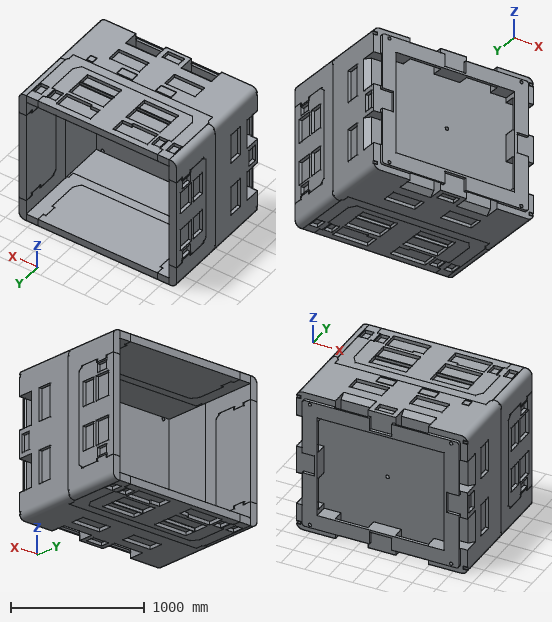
import cadquery as cq


LENGTH_X = 1435.0
HEIGHT_Y = 1084.0
WIDTH_Z = 1220.0
HALF_X = LENGTH_X / 2
HALF_Z = WIDTH_Z / 2
TOP_Y = HEIGHT_Y / 2
BOTTOM_Y = -TOP_Y
CORNER_RADIUS = 55.0
END_THICKNESS = 67.0
SIDE_THICKNESS = 65.0
INNER_X = HALF_X - END_THICKNESS
INNER_Z = HALF_Z - SIDE_THICKNESS
POCKET_DEPTH = 29.0

RUNNER_THICKNESS = 25.0
FOOT_Y = BOTTOM_Y + RUNNER_THICKNESS
RUNNER_HALF_X = 657.0
RUNNER_HALF_Z = 557.0
RUNNER_CORNER_RADIUS = 22.0
WINDOW_HALF_X = 532.0
WINDOW_HALF_Z = 432.0
NOTCH_END_X = 555.0
NOTCH_END_Z = 450.0
NOTCH_HALF_ON_X = 88.0
NOTCH_HALF_ON_Z = 93.0
CORNER_HOLE_X = 593.0
CORNER_HOLE_Z = 532.0
CORNER_HOLE_DIAMETER = 26.0
CENTRE_HOLE_DIAMETER = 29.0

SEAM_Y = 33.0
FLOOR_TOP_Y = -373.0
TUNNEL_TOP_Y = -426.0
TUNNEL_NEAR = 116.0
TUNNEL_FAR = 390.0
MOUTH_TOP_Y = -382.0
MOUTH_DEPTH = 40.0
LIP_BEVEL = 11.0
BASE_POCKET_TOP_Y = -170.0
BASE_POCKET_BOTTOM_Y = -294.0
FOOT_POCKET_HALF = 75.0
FOOT_POCKET_TOP_Y = -406.0
SIDE_FOOT_POCKET_BOTTOM_Y = -485.0
END_FOOT_POCKET_BOTTOM_Y = -490.0

LABEL_DEPTH = 5.0
LABEL_TOP_Y = -62.0
LABEL_BOTTOM_Y = -133.0
LABEL_NEAR_X = 108.0
LABEL_FAR_X = 247.0
SQUARE_LABEL_X = 466.0
SQUARE_LABEL_SIZE = 56.0

LUG_HEIGHT = 6.0
LUG_REACH = 36.0
LUG_INNER_Z = 545.0
LUG_OUTER_Z = 583.0
RECESS_OUTER_Z = 568.0
RECESS_HEIGHT = 9.0

SIDE_SHOULDER_Y = 22.0
SIDE_SHOULDER_DROP = 15.0
SIDE_FOOT_HALF_X = 635.0
SIDE_BOTTOM_Y = -49.0

LATCH_TOP_Y = 470.0
LATCH_BOTTOM_Y = 357.0

SIDE_DOOR_HALF_X = 544.0
SIDE_LATCH_HALF_X = 520.0
SIDE_DOOR_CORNER_Y = 86.0
SIDE_DOOR_BOTTOM_Y = 29.0
SIDE_DOOR_BOTTOM_HALF_X = 504.0
SIDE_POCKET_NEAR_X = 103.0
SIDE_POCKET_FAR_X = 415.0
SIDE_POCKET_STEP_X = 188.0
DOOR_POCKET_TOP_Y = 488.0
SIDE_POCKET_BOTTOM_Y = 349.0
SIDE_POCKET_STEP_Y = 366.0
LOWER_POCKET_TOP_Y = 320.0
SIDE_RIB_TOP_Y = 184.0
SIDE_RIB_THICKNESS = 7.0
SIDE_LOWER_POCKET_BOTTOM_Y = 80.0
GRIP_TOP_Y = 464.0
GRIP_BOTTOM_Y = 362.0
GRIP_WIDTH = 73.0
DOOR_GRIP_X = 438.0
WALL_GRIP_X = 568.0

END_DOOR_HALF_Z = 415.0
END_LATCH_HALF_Z = 390.0
END_DOOR_CORNER_Y = 198.0
END_DOOR_BOTTOM_Y = 154.0
END_DOOR_BOTTOM_HALF_Z = 379.0
LATCH_CLEARANCE = 10.0
CORNER_CLEARANCE = 17.0
END_POCKET_NEAR_Z = 79.0
END_POCKET_FAR_Z = 283.0
END_POCKET_BOTTOM_Y = 345.0
END_POCKET_LOW_Y = 201.0
END_GRIP_Z = 304.0


def box(x0, x1, y0, y1, z0, z1):
    """Axis-aligned box between two corners."""
    return cq.Workplane("XY").box(x1 - x0, y1 - y0, z1 - z0, centered=False).translate((x0, y0, z0))


def symmetric_outline(half_profile):
    """Closes a list of (half width, y) points with its mirror image about zero width."""
    return half_profile + [(-half_width, y) for half_width, y in reversed(half_profile)]


def side_prism(outline, depth):
    """Prism of an (x, y) outline, reaching inward by depth from the outer +Z face."""
    return cq.Workplane("XY", origin=(0, 0, HALF_Z - depth)).polyline(outline).close().extrude(depth)


def end_prism(outline, depth):
    """Prism of a (z, y) outline, reaching inward by depth from the outer +X face."""
    points = [(y, z) for z, y in outline]
    return cq.Workplane("YZ", origin=(HALF_X - depth, 0, 0)).polyline(points).close().extrude(depth)


def rectangle(across0, across1, y0, y1):
    """Corner points of a rectangle on a wall face."""
    return [(across0, y0), (across1, y0), (across1, y1), (across0, y1)]


def mirrored_pair(outline):
    """An outline together with its mirror image about zero width."""
    return [outline, [(-across, y) for across, y in outline]]


def opposite_pair(body):
    """The body and a copy of it turned half a turn about the Y axis."""
    return [body.rotate((0, 0, 0), (0, 1, 0), angle) for angle in (0, 180)]


def rounded_block(half_x, half_z, y0, y1, radius):
    """Block with its four Y edges rounded."""
    return box(-half_x, half_x, y0, y1, -half_z, half_z).edges("|Y").fillet(radius)



SIDE_WALL_OUTLINE = symmetric_outline([
    (INNER_X, TOP_Y),
    (INNER_X, SIDE_SHOULDER_Y),
    (SIDE_FOOT_HALF_X, SIDE_SHOULDER_Y - SIDE_SHOULDER_DROP),
    (SIDE_FOOT_HALF_X, SIDE_BOTTOM_Y),
])

SIDE_DOOR_OUTLINE = symmetric_outline([
    (SIDE_DOOR_HALF_X, TOP_Y),
    (SIDE_DOOR_HALF_X, LATCH_TOP_Y),
    (SIDE_LATCH_HALF_X, LATCH_TOP_Y),
    (SIDE_LATCH_HALF_X, LATCH_BOTTOM_Y),
    (SIDE_DOOR_HALF_X, LATCH_BOTTOM_Y),
    (SIDE_DOOR_HALF_X, SIDE_DOOR_CORNER_Y),
    (SIDE_DOOR_BOTTOM_HALF_X, SIDE_DOOR_BOTTOM_Y),
])

END_LATCH_BOTTOM_Y = LATCH_BOTTOM_Y - LATCH_CLEARANCE / 2
END_DOOR_OUTLINE = symmetric_outline([
    (END_DOOR_HALF_Z, TOP_Y),
    (END_DOOR_HALF_Z, LATCH_TOP_Y),
    (END_LATCH_HALF_Z, LATCH_TOP_Y),
    (END_LATCH_HALF_Z, END_LATCH_BOTTOM_Y),
    (END_DOOR_HALF_Z, END_LATCH_BOTTOM_Y),
    (END_DOOR_HALF_Z, END_DOOR_CORNER_Y),
    (END_DOOR_BOTTOM_HALF_Z, END_DOOR_BOTTOM_Y),
])

END_CORNER_SLOPE = (END_DOOR_HALF_Z - END_DOOR_BOTTOM_HALF_Z) / (END_DOOR_CORNER_Y - END_DOOR_BOTTOM_Y)
END_OPENING_OUTLINE = symmetric_outline([
    (END_DOOR_HALF_Z, TOP_Y),
    (END_DOOR_HALF_Z, LATCH_TOP_Y - LATCH_CLEARANCE),
    (END_LATCH_HALF_Z, LATCH_TOP_Y - LATCH_CLEARANCE),
    (END_LATCH_HALF_Z, END_LATCH_BOTTOM_Y + LATCH_CLEARANCE),
    (END_DOOR_HALF_Z, END_LATCH_BOTTOM_Y + LATCH_CLEARANCE),
    (END_DOOR_HALF_Z, END_DOOR_CORNER_Y - CORNER_CLEARANCE),
    (END_DOOR_HALF_Z - CORNER_CLEARANCE * END_CORNER_SLOPE, END_DOOR_CORNER_Y - CORNER_CLEARANCE),
    (END_DOOR_BOTTOM_HALF_Z, END_DOOR_BOTTOM_Y),
])


def corner_lugs():
    """Low lugs on the base rim at the four corners, trimmed to the rounded corners."""
    shell = rounded_block(HALF_X, HALF_Z, SEAM_Y, SEAM_Y + LUG_HEIGHT, CORNER_RADIUS)
    lugs = cq.Workplane("XY")
    for z0, z1 in ((LUG_INNER_Z, LUG_OUTER_Z), (-LUG_OUTER_Z, -LUG_INNER_Z)):
        for x0, x1 in ((HALF_X - LUG_REACH, HALF_X), (-HALF_X, LUG_REACH - HALF_X)):
            lugs = lugs.union(box(x0, x1, SEAM_Y, SEAM_Y + LUG_HEIGHT, z0, z1))
    return lugs.intersect(shell)



def tray():
    """Tray with rounded corners, whose Z rims are cut down where the side walls stand."""
    body = rounded_block(HALF_X, HALF_Z, FOOT_Y, SEAM_Y, CORNER_RADIUS)
    body = body.union(corner_lugs())
    body = body.cut(box(-INNER_X, INNER_X, FLOOR_TOP_Y, TOP_Y, -INNER_Z, INNER_Z))
    for seat in opposite_pair(side_prism(SIDE_WALL_OUTLINE, SIDE_THICKNESS)):
        body = body.cut(seat)
    return body


def fork_tunnels():
    """Four straight tunnels between the feet, two along X and two along Z."""
    tunnels = cq.Workplane("XY")
    for near, far in ((TUNNEL_NEAR, TUNNEL_FAR), (-TUNNEL_FAR, -TUNNEL_NEAR)):
        tunnels = tunnels.union(box(-HALF_X, HALF_X, FOOT_Y, TUNNEL_TOP_Y, near, far))
        tunnels = tunnels.union(box(near, far, FOOT_Y, TUNNEL_TOP_Y, -HALF_Z, HALF_Z))
    return tunnels


Z_MOUTH_PLANE = cq.Plane(origin=(0, 0, 0), xDir=(0, 0, 1), normal=(-1, 0, 0))


def mouth_wedges(plane, half_shell, half_runner):
    """Sloped roof and bevelled runner lip of the two tunnel mouths on the positive side of an axis."""
    roof = [(half_shell, TUNNEL_TOP_Y), (half_shell, MOUTH_TOP_Y), (half_shell - MOUTH_DEPTH, TUNNEL_TOP_Y)]
    lip = [(half_runner, FOOT_Y), (half_runner, FOOT_Y - LIP_BEVEL), (half_runner - LIP_BEVEL, FOOT_Y)]
    wedges = cq.Workplane("XY")
    for start in (TUNNEL_NEAR, -TUNNEL_FAR):
        for profile in (roof, lip):
            wedge_plane = cq.Workplane(plane).workplane(offset=start)
            wedges = wedges.union(wedge_plane.polyline(profile).close().extrude(TUNNEL_FAR - TUNNEL_NEAR))
    return wedges


def runner_frame():
    """Flat ring under the feet, notched at the middle foot of each side."""
    ring = rounded_block(RUNNER_HALF_X, RUNNER_HALF_Z, BOTTOM_Y, FOOT_Y, RUNNER_CORNER_RADIUS)
    z_notch = box(-NOTCH_HALF_ON_Z, NOTCH_HALF_ON_Z, BOTTOM_Y, FOOT_Y, NOTCH_END_Z, HALF_Z)
    x_notch = box(NOTCH_END_X, HALF_X, BOTTOM_Y, FOOT_Y, -NOTCH_HALF_ON_X, NOTCH_HALF_ON_X)
    for notch in opposite_pair(z_notch) + opposite_pair(x_notch):
        ring = ring.cut(notch)
    return ring


def foot_pocket_outline(bottom_y):
    """Outline of the pocket on a middle foot."""
    return rectangle(-FOOT_POCKET_HALF, FOOT_POCKET_HALF, bottom_y, FOOT_POCKET_TOP_Y)


def base_pockets():
    """Pockets above the fork tunnels and on the middle feet of the +X and +Z sides."""
    tunnel_pocket = rectangle(TUNNEL_NEAR, TUNNEL_FAR, BASE_POCKET_BOTTOM_Y, BASE_POCKET_TOP_Y)
    pockets = []
    for outline in mirrored_pair(tunnel_pocket):
        pockets.append(side_prism(outline, POCKET_DEPTH))
        pockets.append(end_prism(outline, POCKET_DEPTH))

    side_foot_pocket = foot_pocket_outline(SIDE_FOOT_POCKET_BOTTOM_Y)
    end_foot_pocket = foot_pocket_outline(END_FOOT_POCKET_BOTTOM_Y)
    pockets.append(side_prism(side_foot_pocket, POCKET_DEPTH))
    pockets.append(end_prism(end_foot_pocket, POCKET_DEPTH))
    return pockets


def label_recesses():
    """Two shallow label fields and a small square one."""
    label = rectangle(LABEL_NEAR_X, LABEL_FAR_X, LABEL_BOTTOM_Y, LABEL_TOP_Y)
    square_end_x = SQUARE_LABEL_X + SQUARE_LABEL_SIZE
    square = rectangle(SQUARE_LABEL_X, square_end_x, LABEL_TOP_Y - SQUARE_LABEL_SIZE, LABEL_TOP_Y)
    return [side_prism(outline, LABEL_DEPTH) for outline in mirrored_pair(label) + [square]]


def drilled_holes():
    """Drain holes at the four corners and in the middle of the floor."""
    floor = cq.Workplane("XZ", origin=(0, TOP_Y, 0))
    corners = floor.rect(2 * CORNER_HOLE_X, 2 * CORNER_HOLE_Z, forConstruction=True).vertices()
    holes = corners.circle(CORNER_HOLE_DIAMETER / 2).extrude(HEIGHT_Y)
    return holes.union(floor.circle(CENTRE_HOLE_DIAMETER / 2).extrude(HEIGHT_Y))


def make_base():
    """The complete pallet base."""
    body = tray().cut(fork_tunnels()).union(runner_frame())
    body = body.cut(box(-WINDOW_HALF_X, WINDOW_HALF_X, BOTTOM_Y, TUNNEL_TOP_Y, -WINDOW_HALF_Z, WINDOW_HALF_Z))

    x_mouths = mouth_wedges("XY", HALF_X, RUNNER_HALF_X)
    z_mouths = mouth_wedges(Z_MOUTH_PLANE, HALF_Z, RUNNER_HALF_Z)
    recess = box(HALF_X - LUG_REACH, HALF_X, FOOT_Y, FOOT_Y + RECESS_HEIGHT, LUG_INNER_Z, RECESS_OUTER_Z)
    for cutter in [x_mouths, z_mouths, recess, recess.mirror("XY")] + base_pockets():
        for copy in opposite_pair(cutter):
            body = body.cut(copy)

    for label in label_recesses():
        body = body.cut(label)
    return body.cut(drilled_holes())



def make_side_wall():
    """Wall at +Z, open at the top for its door."""
    wall = side_prism(SIDE_WALL_OUTLINE, SIDE_THICKNESS)
    wall = wall.cut(side_prism(SIDE_DOOR_OUTLINE, SIDE_THICKNESS))
    grip = rectangle(WALL_GRIP_X, WALL_GRIP_X + GRIP_WIDTH, GRIP_BOTTOM_Y, GRIP_TOP_Y)
    for outline in mirrored_pair(grip):
        wall = wall.cut(side_prism(outline, POCKET_DEPTH))
    return wall


def make_side_door():
    """Door at +Z with stepped upper pockets, ribbed lower pockets and latch grips."""
    door = side_prism(SIDE_DOOR_OUTLINE, SIDE_THICKNESS)
    upper_pocket = [
        (SIDE_POCKET_NEAR_X, DOOR_POCKET_TOP_Y),
        (SIDE_POCKET_FAR_X, DOOR_POCKET_TOP_Y),
        (SIDE_POCKET_FAR_X, SIDE_POCKET_BOTTOM_Y),
        (SIDE_POCKET_STEP_X, SIDE_POCKET_BOTTOM_Y),
        (SIDE_POCKET_STEP_X, SIDE_POCKET_STEP_Y),
        (SIDE_POCKET_NEAR_X, SIDE_POCKET_STEP_Y),
    ]
    rib_bottom_y = SIDE_RIB_TOP_Y - SIDE_RIB_THICKNESS
    middle_pocket = rectangle(SIDE_POCKET_NEAR_X, SIDE_POCKET_FAR_X, SIDE_RIB_TOP_Y, LOWER_POCKET_TOP_Y)
    lower_pocket = rectangle(SIDE_POCKET_NEAR_X, SIDE_POCKET_FAR_X, SIDE_LOWER_POCKET_BOTTOM_Y, rib_bottom_y)
    grip = rectangle(DOOR_GRIP_X, DOOR_GRIP_X + GRIP_WIDTH, GRIP_BOTTOM_Y, GRIP_TOP_Y)
    for pocket in (upper_pocket, middle_pocket, lower_pocket, grip):
        for outline in mirrored_pair(pocket):
            door = door.cut(side_prism(outline, POCKET_DEPTH))
    return door



def make_end_wall():
    """Wall at +X with the rounded vertical corners, standing on the base rim and its lugs."""
    wall = rounded_block(HALF_X, HALF_Z, SEAM_Y, TOP_Y, CORNER_RADIUS)
    wall = wall.intersect(box(INNER_X, HALF_X, SEAM_Y, TOP_Y, -HALF_Z, HALF_Z))
    wall = wall.cut(end_prism(END_OPENING_OUTLINE, END_THICKNESS))
    return wall.cut(corner_lugs())


def make_end_door():
    """Door at +X with four pockets and two latch grips."""
    door = end_prism(END_DOOR_OUTLINE, END_THICKNESS)
    upper_pocket = rectangle(END_POCKET_NEAR_Z, END_POCKET_FAR_Z, END_POCKET_BOTTOM_Y, DOOR_POCKET_TOP_Y)
    lower_pocket = rectangle(END_POCKET_NEAR_Z, END_POCKET_FAR_Z, END_POCKET_LOW_Y, LOWER_POCKET_TOP_Y)
    grip = rectangle(END_GRIP_Z, END_GRIP_Z + GRIP_WIDTH, GRIP_BOTTOM_Y, GRIP_TOP_Y)
    for pocket in (upper_pocket, lower_pocket, grip):
        for outline in mirrored_pair(pocket):
            door = door.cut(end_prism(outline, POCKET_DEPTH))
    return door


base = make_base()
side_walls = opposite_pair(make_side_wall())
side_doors = opposite_pair(make_side_door())
end_walls = opposite_pair(make_end_wall())
end_doors = opposite_pair(make_end_door())

bodies = [base] + side_walls + side_doors + end_walls + end_doors
result = cq.Compound.makeCompound([body.val() for body in bodies])